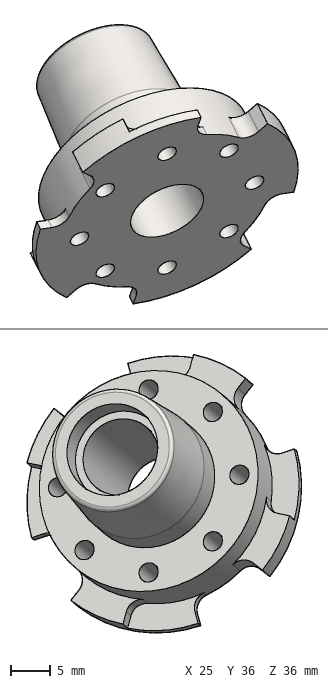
import cadquery as cq
import math

total_length = 25.0
taper_length = 11.98
disc_thickness = 8.0
thick_lug_height = 3.5
thin_lug_height = 1.3
counterbore_depth = 4.0

outer_diameter = 35.97
disc_diameter = 28.92
nose_diameter = 17.48
tip_diameter = 16.0
bore_diameter = 10.0
counterbore_diameter = 12.0
tip_fillet = 0.5

bolt_count = 8
bolt_diameter = 2.5
bolt_circle_diameter = 24.0

lug_count = 4
thin_start_angle = 75.0
step_angle = 105.0
thick_end_angle = 130.0
lug_root_radius = 2.0

disc_radius = disc_diameter / 2
disc_start = total_length - disc_thickness


def polar(radius, angle):
    """Point in the YZ plane at a radius and an angle in degrees."""
    return radius * math.cos(math.radians(angle)), radius * math.sin(math.radians(angle))


def make_body():
    """Tapered round nose on a round disc."""
    nose = (
        cq.Workplane("XY")
        .lineTo(0, tip_diameter / 2)
        .lineTo(taper_length, nose_diameter / 2)
        .lineTo(disc_start, nose_diameter / 2)
        .lineTo(disc_start, 0)
        .close()
        .revolve(360, (0, 0, 0), (1, 0, 0))
        .faces("<X")
        .edges()
        .fillet(tip_fillet)
    )
    disc = cq.Workplane("YZ", origin=(disc_start, 0, 0)).circle(disc_radius).extrude(disc_thickness)
    return nose.union(disc)


def make_lug(start_angle, end_angle, height):
    """Lug with radial sides and concave roots that run tangent into the disc."""
    outer_radius = outer_diameter / 2
    root_center_radius = disc_radius + lug_root_radius
    root_span = math.degrees(math.asin(lug_root_radius / root_center_radius))
    side_radius = root_center_radius * math.cos(math.radians(root_span))

    def root_middle(angle, direction):
        center_angle = angle + direction * root_span
        center_y, center_z = polar(root_center_radius, center_angle)
        facing_angle = center_angle + 180 + direction * (90 - root_span) / 2
        offset_y, offset_z = polar(lug_root_radius, facing_angle)
        return center_y + offset_y, center_z + offset_z

    return (
        cq.Workplane("YZ", origin=(total_length - height, 0, 0))
        .moveTo(*polar(disc_radius, start_angle - root_span))
        .threePointArc(root_middle(start_angle, -1), polar(side_radius, start_angle))
        .lineTo(*polar(outer_radius, start_angle))
        .threePointArc(
            polar(outer_radius, (start_angle + end_angle) / 2),
            polar(outer_radius, end_angle),
        )
        .lineTo(*polar(side_radius, end_angle))
        .threePointArc(root_middle(end_angle, 1), polar(disc_radius, end_angle + root_span))
        .close()
        .extrude(height)
    )


def make_holes():
    """Through bore, counterbore at the tip and the ring of bolt holes."""
    bore = cq.Workplane("YZ").circle(bore_diameter / 2).extrude(total_length)
    counterbore = cq.Workplane("YZ").circle(counterbore_diameter / 2).extrude(counterbore_depth)
    bolts = (
        cq.Workplane("YZ", origin=(disc_start, 0, 0))
        .polarArray(bolt_circle_diameter / 2, 0, 360, bolt_count)
        .circle(bolt_diameter / 2)
        .extrude(disc_thickness)
    )
    return bore, counterbore, bolts


result = make_body()

for index in range(lug_count):
    turn = index * 360 / lug_count
    thin_lug = make_lug(thin_start_angle + turn, step_angle + turn, thin_lug_height)
    thick_lug = make_lug(step_angle + turn, thick_end_angle + turn, thick_lug_height)
    result = result.union(thin_lug).union(thick_lug)

for hole in make_holes():
    result = result.cut(hole)